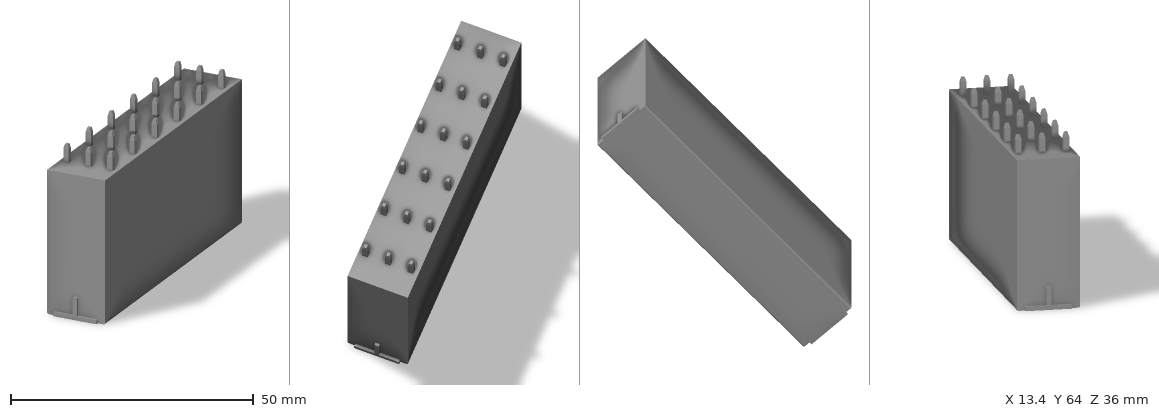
import cadquery as cq

width = 13.4
length = 64.0
height = 36.0

tab_thickness = 0.6
pin_height = 4.0
body_length = length - 2 * tab_thickness
body_height = height - pin_height
base_radius = 0.4

tab_bar_width = 10.0
tab_corner_radius = 0.2
tab_bar_height = 0.95
tab_stem_width = 1.0
tab_stem_height = 5.0

pin_columns = 3
pin_rows = 6
column_pitch = 5.05
row_span = 50.8
row_pitch = row_span / (pin_rows - 1)
pin_width = 1.2
pin_depth = 1.0
tip_height = 0.95
tip_width = 0.65
tip_depth = 0.8


def make_body():
    """Plain block with its two long base edges rounded."""
    block = cq.Workplane("XY").box(width, body_length, body_height, centered=(True, True, False))
    return block.faces("<Z").edges("|Y").fillet(base_radius)


def make_tabs():
    """Upside-down T with rounded top corners, running through to stand proud of both end faces."""
    centered = (True, True, False)
    bar = cq.Workplane("XY").box(tab_bar_width, length, tab_bar_height, centered=centered)
    stem = cq.Workplane("XY").box(tab_stem_width, length, tab_stem_height, centered=centered)
    bar = bar.faces(">Z").edges("|Y").fillet(tab_corner_radius)
    stem = stem.faces(">Z").edges("|Y").fillet(tab_corner_radius)
    return bar.union(stem)


def make_pins():
    """Grid of rectangular pins on the top face, each with a tapered tip."""
    grid = cq.Workplane("XY").workplane(offset=body_height).rarray(
        column_pitch, row_pitch, pin_columns, pin_rows
    )
    shank_height = pin_height - tip_height
    shank = cq.Workplane("XY").rect(pin_width, pin_depth).extrude(shank_height)
    tip = (
        cq.Workplane("XY")
        .workplane(offset=shank_height)
        .rect(pin_width, pin_depth)
        .workplane(offset=tip_height)
        .rect(tip_width, tip_depth)
        .loft(ruled=True)
    )
    pin = shank.union(tip).val()
    return grid.eachpoint(lambda place: pin.moved(place))


result = make_body().union(make_tabs()).union(make_pins())